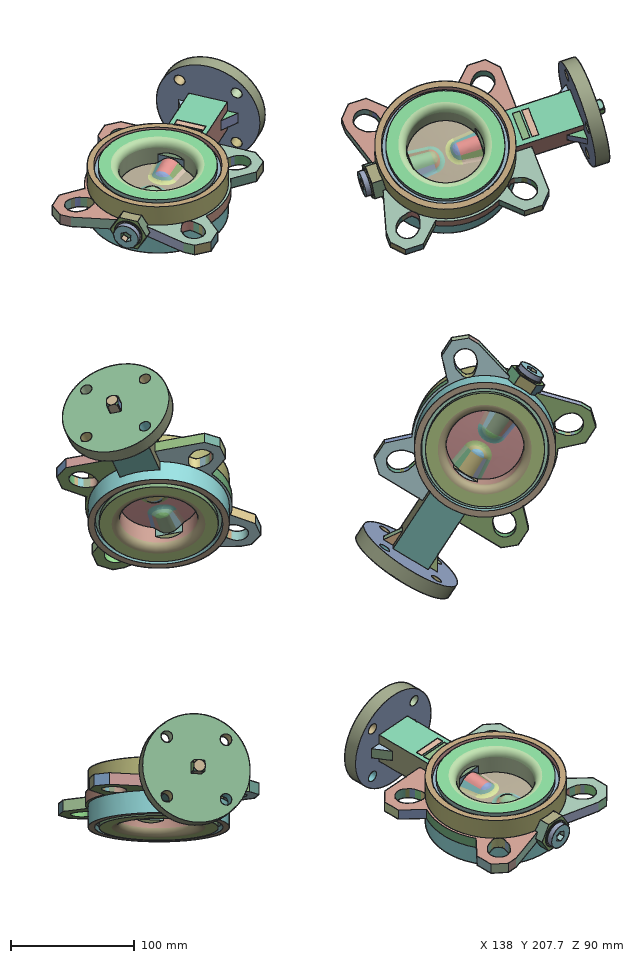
import cadquery as cq
import math

body_radius = 57.3
body_height = 46.6
liner_radius = 48.3
liner_height = 47.6
groove_outer_radius = 52.0
groove_floor_radius = 51.3
groove_depth = 4.0
bore_radius = 31.7
bore_lip_radius = 6.3

root_radius = (bore_radius + liner_radius) / 2

plate_thickness = 9.6
plate_ring_radius = 59.5
lug_reach = 69.0
lug_half_length = 68.4
lug_corner_x = 58.5
lug_corner_y = 59.0
lug_side_y = 43.6
lug_bottom_x = 49.0
lug_bottom_slope = 0.282
corner_angles = (45, 135, 225, 315)
bolt_circle_radius = 72.5
bolt_hole_radius = 9.2
bolt_slot_length = 3.2
bolt_slot_tip_radius = 6.2
bolt_slot_tip_position = 63.2

neck_width = 33.6
neck_height = 27.4
flange_bottom_y = 113.3
flange_top_y = 125.5
flange_radius = 45.0
flange_hole_pitch_radius = 35.0
flange_hole_diameter = 9.5
gusset_foot_y = 98.6
gusset_half_width = 25.9

pad_width = 25.0
pad_depth = 0.3
upper_pad_y = (70.2, 76.0)
lower_pad_y = (62.1, 68.4)

stem_end_y = 135.8
stem_square = 9.6
stem_round_radius = 6.3
stem_tip_chamfer = 1.5

hex_across_flats = 27.5
hex_end_y = -66.1
collar_radius = 11.9
collar_end_y = -67.2
plug_radius = 10.7
plug_end_y = -71.9
socket_across_flats = 8.4
socket_depth = 6.0

disc_edge_z = 1.8
disc_dome_rise = 1.0
seat_flat_y = 29.6
seat_half_height = 11.0
hub_root_radius = 10.4
hub_root_y = 43.0
hub_end_radius = 8.85
hub_end_y = 11.3
hub_flank_angle = 42.0
hub_nose_ratio = 0.77
hub_fillet = 5.2
tangent_tolerance = 0.01


def cylinder_y(radius, start_y, end_y):
    """Cylinder around the Y axis."""
    return cq.Workplane("XZ", origin=(0, start_y, 0)).circle(radius).extrude(start_y - end_y)


def make_body():
    """Ring, grooved on both faces around the raised liner, with rounded bore lips."""
    half_body = body_height / 2
    half_liner = liner_height / 2
    floor_z = half_body - groove_depth
    lip_z = half_liner - bore_lip_radius
    lip_mid = bore_lip_radius * (1 - math.sqrt(0.5))
    upper_half = (
        cq.Workplane("XZ")
        .moveTo(bore_radius, 0)
        .lineTo(bore_radius, lip_z)
        .threePointArc(
            (bore_radius + lip_mid, half_liner - lip_mid),
            (bore_radius + bore_lip_radius, half_liner),
        )
        .lineTo(liner_radius, half_liner)
        .lineTo(liner_radius, floor_z)
        .lineTo(groove_floor_radius, floor_z)
        .lineTo(groove_outer_radius, half_body)
        .lineTo(body_radius, half_body)
        .lineTo(body_radius, 0)
        .close()
        .revolve(360, (0, 0, 0), (0, 1, 0))
    )
    return upper_half.union(upper_half.mirror("XY"))


def make_bolt_slot():
    """Bolt opening on the +X axis: a short slot tapering toward the body."""
    inner = bolt_circle_radius - bolt_slot_length
    taper = math.asin((bolt_hole_radius - bolt_slot_tip_radius) / (inner - bolt_slot_tip_position))
    side_x, side_y = math.sin(taper), math.cos(taper)
    shoulder = (inner - bolt_hole_radius * side_x, bolt_hole_radius * side_y)
    half_taper = taper / 2
    shoulder_mid = (
        inner - bolt_hole_radius * math.sin(half_taper),
        bolt_hole_radius * math.cos(half_taper),
    )
    tip = (
        bolt_slot_tip_position - bolt_slot_tip_radius * side_x,
        bolt_slot_tip_radius * side_y,
    )
    return (
        cq.Workplane("XY")
        .workplane(offset=-plate_thickness / 2)
        .moveTo(bolt_circle_radius, bolt_hole_radius)
        .lineTo(inner, bolt_hole_radius)
        .threePointArc(shoulder_mid, shoulder)
        .lineTo(*tip)
        .threePointArc((bolt_slot_tip_position - bolt_slot_tip_radius, 0), (tip[0], -tip[1]))
        .lineTo(shoulder[0], -shoulder[1])
        .threePointArc((shoulder_mid[0], -shoulder_mid[1]), (inner, -bolt_hole_radius))
        .lineTo(bolt_circle_radius, -bolt_hole_radius)
        .threePointArc(
            (bolt_circle_radius + bolt_hole_radius, 0),
            (bolt_circle_radius, bolt_hole_radius),
        )
        .close()
        .extrude(plate_thickness)
    )


def make_plate():
    """Four chamfered lugs joined by a ring slightly wider than the body."""
    waist_x = lug_reach - lug_side_y
    bottom_center_y = -lug_half_length + lug_bottom_x * lug_bottom_slope
    right_half = [
        (0, lug_half_length),
        (lug_corner_x, lug_half_length),
        (lug_reach, lug_corner_y),
        (lug_reach, lug_side_y),
        (waist_x, 0),
        (lug_reach, -lug_side_y),
        (lug_reach, -lug_corner_y),
        (lug_corner_x, -lug_half_length),
        (lug_bottom_x, -lug_half_length),
        (0, bottom_center_y),
    ]
    left_half = [(-x, y) for x, y in reversed(right_half[1:-1])]
    base = cq.Workplane("XY").workplane(offset=-plate_thickness / 2)
    plate = base.polyline(right_half + left_half).close().extrude(plate_thickness)
    plate = plate.union(base.circle(plate_ring_radius).extrude(plate_thickness))
    center_opening = base.circle(root_radius).extrude(plate_thickness)
    return plate.cut(center_opening)


def make_neck():
    length = flange_bottom_y - root_radius
    neck = cq.Workplane("XY").box(neck_width, length, neck_height)
    neck = neck.translate((0, root_radius + length / 2, 0))
    gussets = (
        cq.Workplane("XY")
        .workplane(offset=-plate_thickness / 2)
        .polyline([
            (-neck_width / 2, gusset_foot_y),
            (neck_width / 2, gusset_foot_y),
            (gusset_half_width, flange_bottom_y),
            (-gusset_half_width, flange_bottom_y),
        ])
        .close()
        .extrude(plate_thickness)
    )
    neck = neck.union(gussets)
    for low_y, high_y in (lower_pad_y, upper_pad_y):
        pad = cq.Workplane("XY").box(pad_width, high_y - low_y, 2 * pad_depth)
        neck = neck.cut(pad.translate((0, (low_y + high_y) / 2, neck_height / 2)))
    return neck


def make_flange():
    flange = cylinder_y(flange_radius, flange_bottom_y, flange_top_y)
    hole = cylinder_y(flange_hole_diameter / 2, flange_bottom_y, flange_top_y)
    hole = hole.translate((flange_hole_pitch_radius, 0, 0))
    for angle in corner_angles:
        flange = flange.cut(hole.rotate((0, 0, 0), (0, 1, 0), angle))
    return flange


def make_stem():
    stem = cylinder_y(stem_round_radius, flange_top_y, stem_end_y)
    stem = stem.faces(">Y").chamfer(stem_tip_chamfer)
    square = cq.Workplane("XZ", origin=(0, flange_top_y, 0)).rect(stem_square, stem_square)
    return stem.intersect(square.extrude(flange_top_y - stem_end_y))


def hexagon_y(across_flats, start_y, end_y):
    """Hexagonal prism along Y with a corner on the X axis."""
    corner_diameter = across_flats / math.cos(math.pi / 6)
    base = cq.Workplane("XZ", origin=(0, start_y, 0))
    return base.polygon(6, corner_diameter).extrude(start_y - end_y)


def make_plug():
    plug = hexagon_y(hex_across_flats, -root_radius, hex_end_y)
    plug = plug.union(cylinder_y(collar_radius, hex_end_y, collar_end_y))
    plug = plug.union(cylinder_y(plug_radius, collar_end_y, plug_end_y))
    socket = hexagon_y(socket_across_flats, plug_end_y + socket_depth, plug_end_y)
    return plug.cut(socket.rotate((0, 0, 0), (0, 1, 0), 30))


def hub_flank(crown_radius):
    """Point where the crown meets its tangent flank, and the flank's foot at Z = 0."""
    angle = math.radians(hub_flank_angle)
    tangent = (crown_radius * math.sin(angle), crown_radius * math.cos(angle))
    foot_x = crown_radius / math.sin(angle)
    return tangent, foot_x


def hub_section(crown_radius, y):
    """Half section of the hub: a round crown with straight tangent flanks."""
    (tangent_x, tangent_z), foot_x = hub_flank(crown_radius)
    return (
        cq.Workplane("XZ", origin=(0, y, 0))
        .moveTo(-foot_x, 0)
        .lineTo(-tangent_x, tangent_z)
        .threePointArc((0, crown_radius), (tangent_x, tangent_z))
        .lineTo(foot_x, 0)
        .close()
        .wires()
        .val()
    )


def make_hub():
    """Upper half of the hub on the +Y side: tapered barrel and rounded nose."""
    barrel = cq.Solid.makeLoft(
        [hub_section(hub_end_radius, hub_end_y), hub_section(hub_root_radius, hub_root_y)], True
    )
    (tangent_x, tangent_z), foot_x = hub_flank(hub_end_radius)
    half_angle = math.radians(hub_flank_angle / 2)
    crown_mid = (hub_end_radius * math.sin(half_angle), hub_end_radius * math.cos(half_angle))
    nose = (
        cq.Workplane("XZ")
        .lineTo(0, hub_end_radius)
        .threePointArc(crown_mid, (tangent_x, tangent_z))
        .lineTo(foot_x, 0)
        .close()
        .revolve(180, (0, 0, 0), (0, 1, 0))
    )
    nose = nose.mirror("XZ")
    squash = cq.Matrix([[1, 0, 0, 0], [0, hub_nose_ratio, 0, 0], [0, 0, 1, 0]])
    nose = cq.Workplane(nose.val().transformGeometry(squash)).translate((0, hub_end_y, 0))
    return cq.Workplane(barrel).union(nose)


def make_disc():
    """Domed disc with its hubs; the rim and hub roots run on into the liner."""
    apex = disc_edge_z + disc_dome_rise
    dome_radius = (bore_radius**2 + disc_dome_rise**2) / (2 * disc_dome_rise)
    dome_center_z = apex - dome_radius
    rim_z = dome_center_z + math.sqrt(dome_radius**2 - root_radius**2)
    mid_x = root_radius / 2
    mid_z = dome_center_z + math.sqrt(dome_radius**2 - mid_x**2)
    upper_half = (
        cq.Workplane("XZ")
        .lineTo(root_radius, 0)
        .lineTo(root_radius, rim_z)
        .threePointArc((mid_x, mid_z), (0, apex))
        .close()
        .revolve(360, (0, 0, 0), (0, 1, 0))
    )
    hub = make_hub()
    upper_half = upper_half.union(hub).union(hub.mirror("XZ"))
    foot_zone = cq.selectors.BoxSelector(
        (-root_radius, -hub_root_y, rim_z / 2),
        (root_radius, hub_root_y, apex + tangent_tolerance),
        boundingbox=True,
    )
    upper_half = upper_half.edges(foot_zone).edges("not(%CIRCLE)").fillet(hub_fillet)
    return upper_half.union(upper_half.mirror("XY"))


def make_seats():
    """Flat-faced pads with sloping ends on the liner, where the stem enters the bore."""
    slope_run = bore_radius - seat_flat_y
    seat = (
        cq.Workplane("YZ")
        .workplane(offset=-bore_radius)
        .polyline([
            (seat_flat_y, -seat_half_height),
            (seat_flat_y, seat_half_height),
            (bore_radius, seat_half_height + slope_run),
            (bore_radius, -seat_half_height - slope_run),
        ])
        .close()
        .extrude(2 * bore_radius)
    )
    bore = cq.Workplane("XY").workplane(offset=-body_height / 2).circle(bore_radius).extrude(body_height)
    seat = seat.intersect(bore)
    return seat.union(seat.mirror("XZ"))


result = make_body()
for make_feature in (make_plate, make_neck, make_flange, make_stem, make_plug, make_seats, make_disc):
    result = result.union(make_feature())
bolt_slot = make_bolt_slot()
for angle in corner_angles:
    result = result.cut(bolt_slot.rotate((0, 0, 0), (0, 0, 1), angle))